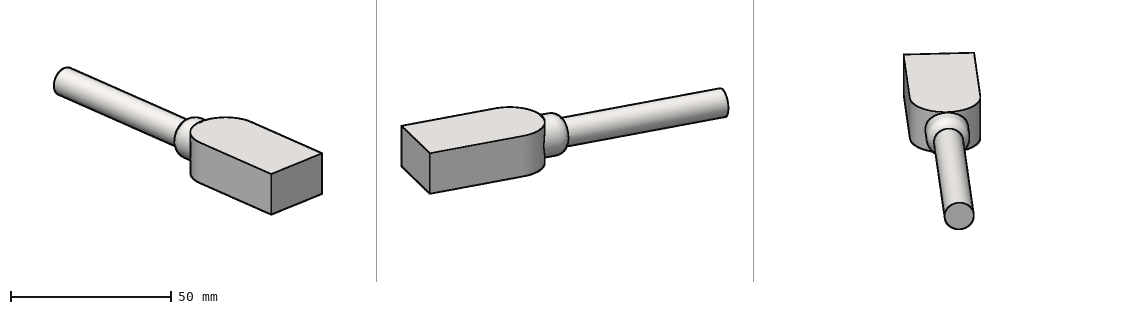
import cadquery as cq

total_length = 104.5
body_width = 22.0
body_height = 14.0
body_straight_length = 32.0
cable_diameter = 9.2
collar_diameter = 13.5
collar_start = 54.0
collar_round = 4.0

body_round_radius = body_width / 2
round_centre_x = total_length - body_straight_length


def make_body():
    """Flat block whose cable end is a half circle."""
    return (
        cq.Workplane("XY")
        .moveTo(total_length, -body_round_radius)
        .lineTo(total_length, body_round_radius)
        .lineTo(round_centre_x, body_round_radius)
        .threePointArc(
            (round_centre_x - body_round_radius, 0),
            (round_centre_x, -body_round_radius),
        )
        .close()
        .extrude(body_height / 2, both=True)
    )


def make_rod(diameter, start_x):
    """Cylinder along X from start_x into the middle of the rounded end."""
    return (
        cq.Workplane("YZ", origin=(start_x, 0, 0))
        .circle(diameter / 2)
        .extrude(round_centre_x - start_x)
    )


cable = make_rod(cable_diameter, 0)
collar = make_rod(collar_diameter, collar_start).faces("<X").edges().fillet(collar_round)

result = make_body().union(collar).union(cable)